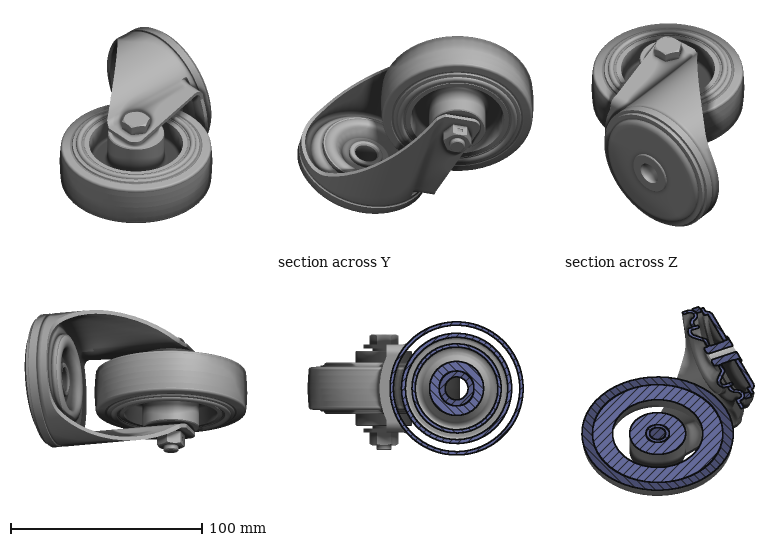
import cadquery as cq
import math


axle_x = 38.0
axle_y = -61.0
head_radius = 35.0
sheet = 2.0

channel_radius = 31.0
channel_y = -12.2
channel_outer = head_radius - channel_radius
channel_inner = channel_outer - sheet
channel_turn = math.radians(72)
lip_bore = 23.5
lip_bend_x = 25.1

leg_outer_z = 23.0
leg_inner_z = leg_outer_z - sheet
leg_bend = 6.0
web_radius = 40.3
web_bend = 5.2
web_side_x = 36.7
skirt_y = -15.1
slope_top_x = -27.0
slope_middle = (0.0, -40.6)
slope_end = (25.0, -69.6)
slope_blend = 16.0
leg_heel_x = 29.2
leg_bottom_y = -72.2
leg_toe_x = 50.0
leg_toe_radius = 5.0
leg_beyond = 60.0

cap_top_y = -0.9
cap_flange_top = -3.4
cap_flange_bottom = -5.4
cap_flange_radius = 33.4
cap_flat_radius = 26.9
cap_dome_radius = 30.6
cap_cavity_radius = 28.0
seal_bottom_y = -9.4

cup_bead_center = (19.7, -13.7)
cup_bead_radius = 4.5
cup_rim_y = -17.0
cup_floor_radius = 12.5
cup_floor_fillet = 0.7

bush_radius = 9.0
bush_flange_radius = 11.2
bush_bore = 5.9
bush_bottom_y = -15.0
bush_lip_fillet = 1.1
bush_bore_chamfer = 0.7
bush_flange_chamfer = 0.4

tread_radius = 40.0
tread_ribs = [(39.9, 3.15), (39.7, 6.7), (39.4, 9.5)]
tyre_face = (38.1, 11.1)
tyre_face_inner_z = 11.4
tyre_corner = (39.1, 10.6)
tyre_seat_radius = 34.0
joint_groove_z = 11.1
joint_groove_half = 0.4
joint_groove_chamfer = 0.4
rim_edge_z = 11.9
rim_shoulder = (31.4, 12.2)
rim_bead_top = (29.9, 13.5)
rim_bead_inner = (28.3, 12.3)
rim_groove_radii = (27.0, 27.6)
rim_groove_depth = 0.3
well_mouth_radius = 24.6
well_floor_radius = 23.0
well_fillet = 1.6
web_half = 2.25
hub_radius = 14.8
hub_fillet = 2.0
hub_chamfer = 0.5
hub_half = 19.7

sleeve_radius = 6.0
bolt_radius = 4.0
hex_flats = 13.0
head_height = 5.3
nut_height = 6.8
bolt_end_z = -32.3
bolt_tip_chamfer = 0.5
hex_chamfer_angle = 30.0
nut_mark = (2.8, 2.2)
nut_mark_depth = 0.3


def around_swivel(profile):
    return profile.close().revolve(360, (0, 0), (0, 1))


def axle_plane(z=0.0):
    return cq.Workplane("XY", origin=(axle_x, axle_y, z))


def wheel_section():
    return cq.Workplane("XZ", origin=(axle_x, axle_y, 0))


bend_center_z = leg_outer_z + leg_bend
bend_center_x = math.sqrt((head_radius + leg_bend) ** 2 - bend_center_z ** 2)


def fork_plan(radius, bend, leg_z, top_y, top_fillet):
    """Keyhole-shaped prism: a round skirt blending into two parallel legs, rounded at the top."""
    along = radius / (head_radius + leg_bend)
    join = (bend_center_x * along, bend_center_z * along)
    half_turn = math.atan2(bend_center_x, bend_center_z) / 2
    bend_mid = (bend_center_x - bend * math.sin(half_turn), bend_center_z - bend * math.cos(half_turn))
    prism = (
        cq.Workplane("XZ", origin=(0, top_y, 0))
        .moveTo(leg_beyond, -leg_z)
        .lineTo(bend_center_x, -leg_z)
        .threePointArc((bend_mid[0], -bend_mid[1]), (join[0], -join[1]))
        .threePointArc((-radius, 0), join)
        .threePointArc(bend_mid, (bend_center_x, leg_z))
        .lineTo(leg_beyond, leg_z)
        .close()
        .extrude(top_y - leg_bottom_y)
    )
    leg_edge = cq.selectors.NearestToPointSelector((web_side_x, top_y, leg_z))
    other_edge = cq.selectors.NearestToPointSelector((web_side_x, top_y, -leg_z))
    return prism.edges(leg_edge + other_edge).fillet(top_fillet)


def fork_side():
    """Side outline that trims the skirt and the legs, with the slightly hollow sloping lower edge."""
    outline = (
        cq.Workplane("XY", origin=(0, 0, -head_radius))
        .moveTo(-head_radius, channel_y)
        .lineTo(web_side_x, channel_y)
        .lineTo(web_side_x, channel_y - web_bend)
        .lineTo(leg_toe_x, leg_bottom_y)
        .lineTo(leg_heel_x, leg_bottom_y)
        .lineTo(*slope_end)
        .threePointArc(slope_middle, (slope_top_x, skirt_y))
        .lineTo(-head_radius, skirt_y)
        .close()
        .extrude(2 * head_radius)
    )
    outline = outline.edges(
        cq.selectors.NearestToPointSelector((slope_top_x, skirt_y, 0))
    ).fillet(slope_blend)
    return outline.edges(
        cq.selectors.NearestToPointSelector((leg_toe_x, leg_bottom_y, 0))
    ).fillet(leg_toe_radius)


def make_fork():
    web_bottom = channel_y - sheet
    shell = fork_plan(head_radius, leg_bend, leg_outer_z, channel_y, web_bend)
    hollow = fork_plan(head_radius - sheet, leg_bend + sheet, leg_inner_z, web_bottom, web_bend - sheet)
    legs = shell.cut(hollow)

    join_x = bend_center_x * head_radius / (head_radius + leg_bend)
    skirt = (
        cq.Workplane("XZ", origin=(0, channel_y, 0))
        .circle(head_radius)
        .extrude(2 * web_bend)
        .intersect(cq.Workplane("XY").box(2 * head_radius, 4 * head_radius, 2 * head_radius)
                   .translate((join_x - head_radius, 0, 0)))
    )
    legs = legs.union(skirt).intersect(fork_side())

    web = (
        cq.Workplane("XZ", origin=(0, channel_y, 0))
        .circle(web_radius)
        .extrude(sheet)
        .intersect(cq.Workplane("XY").box(2 * web_radius, 4 * head_radius, 2 * (leg_outer_z - web_bend))
                   .translate((web_radius, 0, 0)))
    )
    clearance = (
        cq.Workplane("XZ", origin=(0, channel_y, 0))
        .circle(head_radius - sheet)
        .extrude(channel_y - leg_bottom_y)
    )
    legs = legs.union(web).cut(clearance)

    turn = (math.sin(channel_turn), math.cos(channel_turn))
    bend_outer = (channel_radius - lip_bend_x) / turn[0] - channel_inner
    bend_inner = bend_outer - sheet
    bend_y = channel_y + (channel_inner + bend_outer) * turn[1]
    lip_y = bend_y - bend_outer
    channel = around_swivel(
        cq.Workplane("XY")
        .moveTo(head_radius, channel_y - sheet / 2)
        .lineTo(head_radius, channel_y)
        .threePointArc((channel_radius, channel_y + channel_outer),
                       (channel_radius - channel_outer * turn[0], channel_y + channel_outer * turn[1]))
        .tangentArcPoint((lip_bend_x, bend_y - bend_inner), relative=False)
        .lineTo(lip_bore, lip_y + sheet)
        .lineTo(lip_bore, lip_y)
        .lineTo(lip_bend_x, lip_y)
        .tangentArcPoint((lip_bend_x + bend_outer * turn[0], bend_y - bend_outer * turn[1]), relative=False)
        .threePointArc((channel_radius, channel_y + channel_inner), (head_radius - sheet, channel_y))
        .lineTo(head_radius - sheet, channel_y - sheet / 2)
    )
    axle_holes = axle_plane(-head_radius).circle(bolt_radius).extrude(2 * head_radius)
    return legs.union(channel).cut(axle_holes)


def make_cap():
    return around_swivel(
        cq.Workplane("XY")
        .moveTo(bush_radius, cap_top_y)
        .lineTo(cap_flat_radius, cap_top_y)
        .tangentArcPoint((cap_dome_radius, cap_flange_top), relative=False)
        .lineTo(cap_flange_radius, cap_flange_top)
        .lineTo(cap_flange_radius, cap_flange_bottom)
        .lineTo(cap_cavity_radius, cap_flange_bottom)
        .lineTo(cap_cavity_radius, cap_flange_top)
        .lineTo(bush_radius, cap_flange_top)
    )


def make_seal_ring():
    """Ring that rests on the outer shoulder of the fork's ball channel."""
    seat_angle = math.asin((seal_bottom_y - channel_y) / channel_outer)

    def seat(angle):
        return (channel_radius + channel_outer * math.cos(angle), channel_y + channel_outer * math.sin(angle))

    return around_swivel(
        cq.Workplane("XY")
        .moveTo(channel_radius, cap_flange_bottom)
        .lineTo(head_radius, cap_flange_bottom)
        .lineTo(head_radius, seal_bottom_y)
        .lineTo(*seat(seat_angle))
        .threePointArc(seat((seat_angle + math.pi / 2) / 2), seat(math.pi / 2))
    )


def make_cup():
    """Pressed bearing cup inside the fork lip: a round bead hanging down, a 45 degree cone and a flat raised floor."""
    bead_r, bead_y = cup_bead_center
    inner_radius = cup_bead_radius - sheet
    diagonal = math.sqrt(0.5)
    cone_r = bead_r - cup_bead_radius * diagonal
    cone_y = bead_y - cup_bead_radius * diagonal
    floor_y = cone_y + cone_r - cup_floor_radius
    floor_top = floor_y + sheet
    rim_reach = math.sqrt(cup_bead_radius ** 2 - (bead_y - cup_rim_y) ** 2)
    wall_inner = lip_bore - sheet
    wall_drop = math.sqrt(inner_radius ** 2 - (wall_inner - bead_r) ** 2)
    inner_cone_r = bead_r - inner_radius * diagonal
    inner_cone_y = bead_y - inner_radius * diagonal
    cup = around_swivel(
        cq.Workplane("XY")
        .moveTo(bush_radius, floor_y)
        .lineTo(cup_floor_radius, floor_y)
        .lineTo(cone_r, cone_y)
        .threePointArc((bead_r, bead_y - cup_bead_radius), (bead_r + rim_reach, cup_rim_y))
        .lineTo(lip_bore, cup_rim_y)
        .lineTo(lip_bore, floor_top)
        .lineTo(wall_inner, floor_top)
        .lineTo(wall_inner, bead_y - wall_drop)
        .threePointArc((bead_r, bead_y - inner_radius), (inner_cone_r, inner_cone_y))
        .lineTo(inner_cone_r - (floor_top - inner_cone_y), floor_top)
        .lineTo(bush_radius, floor_top)
    )
    floor_edge = cq.selectors.RadiusNthSelector(1)
    return cup.faces(cq.selectors.NearestToPointSelector((0, floor_y, 0))).edges(floor_edge).fillet(
        cup_floor_fillet)


def make_bush():
    bush = around_swivel(
        cq.Workplane("XY")
        .moveTo(bush_bore, 0)
        .lineTo(bush_flange_radius - bush_flange_chamfer, 0)
        .lineTo(bush_flange_radius, -bush_flange_chamfer)
        .lineTo(bush_flange_radius, cap_top_y)
        .lineTo(bush_radius, cap_top_y)
        .lineTo(bush_radius, bush_bottom_y + bush_lip_fillet)
        .tangentArcPoint((bush_radius - bush_lip_fillet, bush_bottom_y), relative=False)
        .lineTo(bush_bore + bush_bore_chamfer, bush_bottom_y)
        .lineTo(bush_bore, bush_bottom_y + bush_bore_chamfer)
    )
    return bush


def mirrored(points):
    """The same (radius, z) points on the other side of the wheel, in reverse order."""
    return [(r, -z) for r, z in reversed(points)]


def make_tyre():
    half = [(tread_radius, 0)] + tread_ribs
    groove_edge = tyre_seat_radius + joint_groove_half
    face = [
        tyre_face,
        (groove_edge + joint_groove_chamfer, tyre_face_inner_z),
        (groove_edge, joint_groove_z),
        (tyre_seat_radius, joint_groove_z),
    ]
    return (
        wheel_section()
        .polyline(mirrored(half)[:-1] + half)
        .threePointArc(tyre_corner, tyre_face)
        .polyline(face[1:] + mirrored(face), includeCurrent=True)
        .threePointArc(*mirrored([half[-1], tyre_corner]))
        .close()
        .revolve(360, (0, 0), (0, 1))
    )


def rim_side(side):
    """Half of the rim, hub and web, from the middle plane out to one face (side is +1 or -1)."""
    groove_in, groove_out = rim_groove_radii
    rim_face = rim_bead_inner[1]
    groove_z = rim_face - rim_groove_depth
    rim_edge = tyre_seat_radius - joint_groove_half
    points = [
        (groove_out, rim_face),
        (groove_out, groove_z),
        (groove_in, groove_z),
        (groove_in, rim_face),
        (well_mouth_radius, rim_face),
        (well_floor_radius, web_half),
        (hub_radius, web_half),
        (hub_radius, hub_half - hub_chamfer),
        (hub_radius - hub_chamfer, hub_half),
        (sleeve_radius, hub_half),
        (sleeve_radius, 0),
    ]
    half = (
        wheel_section()
        .moveTo(tyre_seat_radius, 0)
        .lineTo(tyre_seat_radius, side * joint_groove_z)
        .lineTo(rim_edge, side * joint_groove_z)
        .lineTo(rim_edge - joint_groove_chamfer, side * rim_edge_z)
        .lineTo(rim_shoulder[0], side * rim_shoulder[1])
        .threePointArc((rim_bead_top[0], side * rim_bead_top[1]), (rim_bead_inner[0], side * rim_bead_inner[1]))
    )
    for r, z in points:
        half = half.lineTo(r, side * z)
    half = half.close().revolve(360, (0, 0), (0, 1))
    for corner_radius, fillet in ((well_floor_radius, well_fillet), (hub_radius, hub_fillet)):
        corner = cq.selectors.BoxSelector(
            (axle_x - 1.01 * corner_radius, axle_y - 1.01 * corner_radius, side * web_half - 0.1),
            (axle_x + 1.01 * corner_radius, axle_y + 1.01 * corner_radius, side * web_half + 0.1),
            boundingbox=True,
        )
        ring = half.edges(corner).edges(cq.selectors.RadiusNthSelector(-1))
        half = ring.fillet(fillet)
    return half


def make_rim():
    return rim_side(1).union(rim_side(-1))


def make_sleeve():
    return axle_plane(-leg_inner_z).circle(sleeve_radius).circle(bolt_radius).extrude(2 * leg_inner_z)


def hexagon(start_z, height):
    """Hexagon with corners along X whose outer end (away from the wheel) has chamfered corners."""
    corner_radius = hex_flats / math.sqrt(3)
    prism = axle_plane(start_z).polygon(6, 2 * corner_radius).extrude(height)
    end_z = start_z + height
    outward = math.copysign(1, height)
    flat_radius = 0.97 * hex_flats / 2
    drop = (corner_radius - flat_radius) * math.tan(math.radians(hex_chamfer_angle))
    envelope = (
        wheel_section()
        .polyline([
            (0, start_z),
            (corner_radius, start_z),
            (corner_radius, end_z - outward * drop),
            (flat_radius, end_z),
            (0, end_z),
        ])
        .close()
        .revolve(360, (0, 0), (0, 1))
    )
    return prism.intersect(envelope)


def make_bolt():
    shank = (
        axle_plane(bolt_end_z)
        .circle(bolt_radius)
        .extrude(leg_outer_z - bolt_end_z)
        .faces("<Z")
        .chamfer(bolt_tip_chamfer)
    )
    return hexagon(leg_outer_z, head_height).union(shank)


def make_nut():
    bore = axle_plane(-leg_outer_z).circle(bolt_radius).extrude(-nut_height)
    flat_y = axle_y - hex_flats / 2
    mark = cq.Workplane("XY").box(nut_mark[0], 2 * nut_mark_depth, nut_mark[1]).translate(
        (axle_x, flat_y, -leg_outer_z - nut_height / 2))
    return hexagon(-leg_outer_z, -nut_height).cut(bore).cut(mark)


fork = make_fork()
cap = make_cap()
seal_ring = make_seal_ring()
cup = make_cup()
bush = make_bush()
tyre = make_tyre()
rim = make_rim()
sleeve = make_sleeve()
bolt = make_bolt()
nut = make_nut()

result = cq.Compound.makeCompound([
    *fork.solids().vals(),
    *cap.solids().vals(),
    *seal_ring.solids().vals(),
    *cup.solids().vals(),
    *bush.solids().vals(),
    *tyre.solids().vals(),
    *rim.solids().vals(),
    *sleeve.solids().vals(),
    *bolt.solids().vals(),
    *nut.solids().vals(),
])